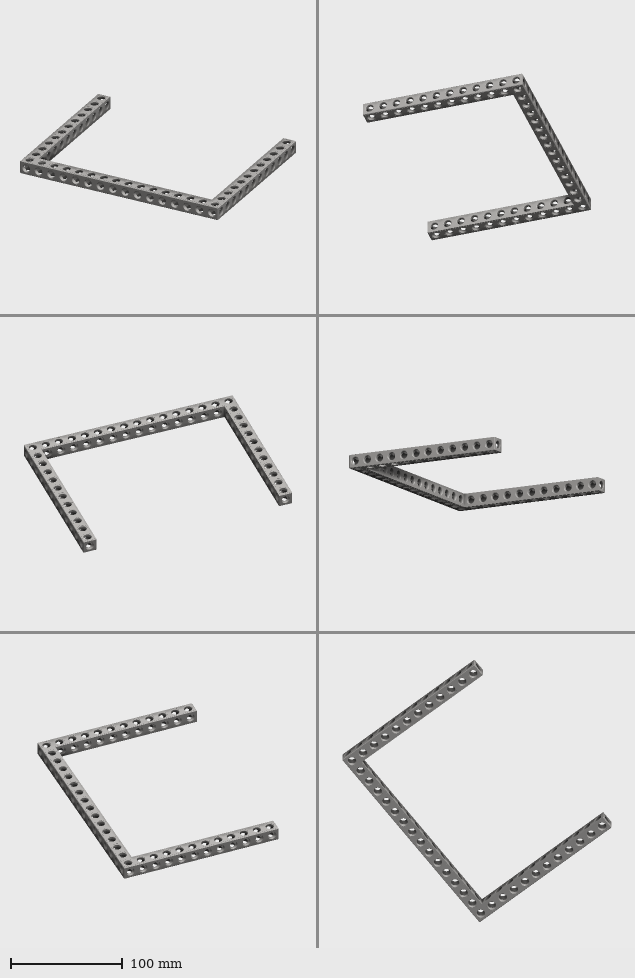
import cadquery as cq

bar_length = 200.0
bar_holes = 16
leg_holes = 12
hole_diameter = 7.0
chamfer = 0.5
skin_thickness = 0.1
skin_margin = 1.2
skin_hole_diameter = 9.2

pitch = bar_length / bar_holes
leg_length = leg_holes * pitch
mid_height = pitch / 2
body_bottom = skin_thickness
body_top = pitch - skin_thickness
hole_radius = hole_diameter / 2
mouth_radius = hole_radius + chamfer

bar_centres = [(i + 0.5) * pitch for i in range(bar_holes)]
leg_centres = [(i + 0.5) * pitch for i in range(leg_holes)]
leg_axes = [bar_centres[0], bar_centres[-1]]
bar_axis = leg_centres[0]
vertical_centres = [(x, bar_axis) for x in bar_centres]
vertical_centres += [(x, y) for x in leg_axes for y in leg_centres[1:]]


def frame_body():
    """U-shaped frame: a block bevelled all round, then opened between the legs with sharp inner edges."""
    block = (
        cq.Workplane("XY", origin=(0, 0, body_bottom))
        .box(bar_length, leg_length, body_top - body_bottom, centered=False)
        .edges().chamfer(chamfer)
    )
    opening = cq.Workplane("XY", origin=(pitch, pitch, 0)).box(
        bar_length - 2 * pitch, leg_length - pitch, pitch, centered=False
    )
    return block.cut(opening)


def chamfered_bore(start, direction, length):
    """Cutter for a through hole with a bevelled mouth at both ends."""
    axis = cq.Vector(*direction)
    near_end = cq.Vector(*start)
    far_end = near_end + axis * length
    return [
        cq.Solid.makeCylinder(hole_radius, length, near_end, axis),
        cq.Solid.makeCone(mouth_radius, hole_radius, chamfer, near_end, axis),
        cq.Solid.makeCone(mouth_radius, hole_radius, chamfer, far_end, axis * -1),
    ]


def hole_cutters():
    """Holes along X, Y and Z; the rows crossing the opening pierce both facing bars."""
    along_x = (1, 0, 0)
    along_y = (0, 1, 0)
    along_z = (0, 0, 1)
    cutters = chamfered_bore((0, bar_axis, mid_height), along_x, bar_length)
    for x in leg_axes:
        cutters += chamfered_bore((x, 0, mid_height), along_y, leg_length)
    for y in leg_centres[1:]:
        for leg_side in (0, bar_length - pitch):
            cutters += chamfered_bore((leg_side, y, mid_height), along_x, pitch)
    for x in bar_centres[1:-1]:
        cutters += chamfered_bore((x, 0, mid_height), along_y, pitch)
    for x, y in vertical_centres:
        cutters += chamfered_bore((x, y, body_bottom), along_z, body_top - body_bottom)
    return cutters


def skin(bottom):
    """Thin U-shaped layer set in from the sides, open around every vertical hole."""
    low_x = skin_margin
    high_x = bar_length - skin_margin
    low_y = skin_margin
    high_y = leg_length - skin_margin
    inner_margin = pitch - skin_margin
    outline = [
        (low_x, low_y),
        (high_x, low_y),
        (high_x, high_y),
        (bar_length - inner_margin, high_y),
        (bar_length - inner_margin, inner_margin),
        (inner_margin, inner_margin),
        (inner_margin, high_y),
        (low_x, high_y),
    ]
    plane = cq.Workplane("XY", origin=(0, 0, bottom))
    layer = plane.polyline(outline).close().extrude(skin_thickness)
    clearances = plane.pushPoints(vertical_centres).circle(skin_hole_diameter / 2).extrude(skin_thickness)
    return layer.cut(clearances)


drilled_body = cq.Workplane(frame_body().val().cut(*hole_cutters()))
finished_frame = drilled_body.union(skin(0)).union(skin(body_top))
result = cq.Workplane(finished_frame.solids().val())